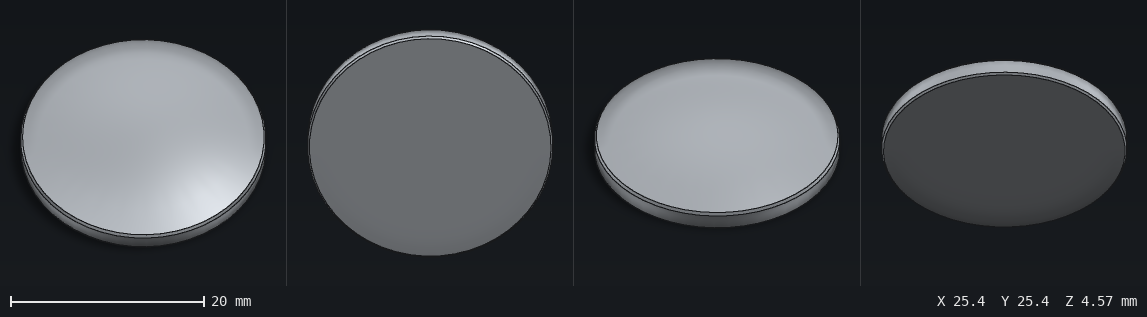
import cadquery as cq
import math

diameter = 25.4
total_height = 4.57
dome_rise = 2.5
top_bevel_width = 0.2
top_bevel_height = 0.3
bottom_bevel = 0.2

radius = diameter / 2
dome_edge_radius = radius - top_bevel_width
dome_edge_height = total_height - dome_rise
base_radius = radius - bottom_bevel

sphere_radius = (dome_edge_radius**2 + dome_rise**2) / (2 * dome_rise)
sphere_center_height = total_height - sphere_radius
arc_middle_radius = dome_edge_radius / 2
arc_middle_height = sphere_center_height + math.sqrt(sphere_radius**2 - arc_middle_radius**2)

half_section = (
    cq.Workplane("YZ")
    .lineTo(base_radius, 0)
    .lineTo(radius, bottom_bevel)
    .lineTo(radius, dome_edge_height - top_bevel_height)
    .lineTo(dome_edge_radius, dome_edge_height)
    .threePointArc((arc_middle_radius, arc_middle_height), (0, total_height))
    .close()
)
result = half_section.revolve(360, (0, 0), (0, 1))